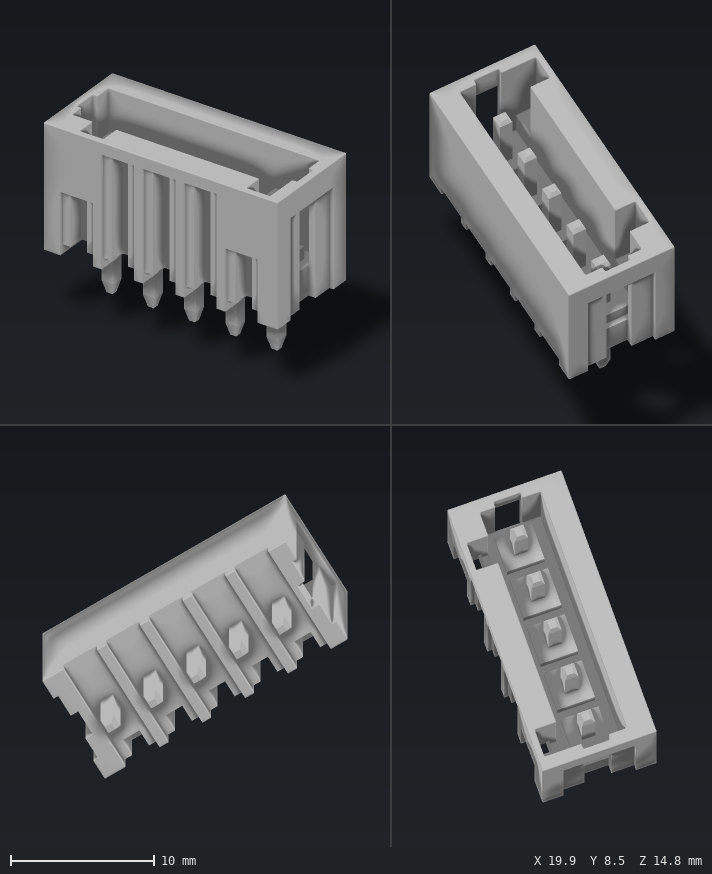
import cadquery as cq


LENGTH = 19.9
WIDTH = 8.5
HEIGHT = 10.3
EDGE_RADIUS = 0.1
FRONT = -WIDTH / 2

PIN_COUNT = 5
PITCH = 3.5
ROW_CENTRE_X = -0.15
PIN_Y = 0.1
PIN_SIZE = 1.0
PIN_TIP_SIZE = 0.5
PIN_BOTTOM = -4.5
LOWER_TAPER = 1.0
PIN_TOP = 8.2
UPPER_TAPER = 0.25
PIN_XS = [ROW_CENTRE_X + (i - (PIN_COUNT - 1) / 2) * PITCH for i in range(PIN_COUNT)]

FLOOR_Z = 2.5
CAVITY_HALF_LENGTH = 8.95
CAVITY_WIDTH = 4.5
CAVITY_FRONT = PIN_Y - CAVITY_WIDTH / 2
CAVITY_BACK = PIN_Y + CAVITY_WIDTH / 2

NOTCH_FLOOR_Z = 4.3
NOTCH_FRONT = -3.75
NOTCH_LENGTH = 2.0
LEFT_NOTCH_START = -7.2
RIGHT_NOTCH_START = CAVITY_HALF_LENGTH - NOTCH_LENGTH

SLOT_WIDTH = 2.0
SLOT_END = 9.35
RECESS_WIDTH = 5.4
RECESS_DEPTH = 0.4
RECESS_TOP = HEIGHT - 2.0

BASE_SIZE = 2.8
BASE_TOP = FLOOR_Z + 1.0
STANDOFF = 0.8
GROOVE_INNER_WIDTH = BASE_SIZE / 2
GROOVE_STEP_DEPTH = 0.3
GROOVE_DEPTH = 1.6
TALL_GROOVE_TOP = HEIGHT - 1.0
SHORT_GROOVE_TOP = 5.15


def block(x0, x1, y0, y1, z0, z1):
    """Box between two opposite corners."""
    return cq.Workplane("XY").box(x1 - x0, y1 - y0, z1 - z0, centered=False).translate((x0, y0, z0))


def cut_cavity(body):
    """Cavity with two keying notches and an open slot at each end, rounded on all its edges."""
    cavity = block(-CAVITY_HALF_LENGTH, CAVITY_HALF_LENGTH, CAVITY_FRONT, CAVITY_BACK, FLOOR_Z, HEIGHT)
    for start in (LEFT_NOTCH_START, RIGHT_NOTCH_START):
        end = start + NOTCH_LENGTH
        cavity = cavity.union(block(start, end, NOTCH_FRONT, CAVITY_FRONT, NOTCH_FLOOR_Z, HEIGHT))
    half_slot = SLOT_WIDTH / 2
    cavity = cavity.union(block(-SLOT_END, SLOT_END, -half_slot, half_slot, FLOOR_Z, HEIGHT))
    cavity = cavity.edges("not >Z").fillet(EDGE_RADIUS)
    body = body.cut(cavity)
    rim = body.faces(">Z").val().innerWires()[0]
    body = body.newObject(rim.Edges()).fillet(EDGE_RADIUS)
    return body


def cut_end_recesses(body):
    """Shallow recess on each end wall, with the latch slot running from it down past the cavity floor."""
    half = LENGTH / 2
    for side in (-1, 1):
        for depth, width in ((RECESS_DEPTH, RECESS_WIDTH), (half - CAVITY_HALF_LENGTH, SLOT_WIDTH)):
            x0, x1 = sorted((side * half, side * (half - depth)))
            body = body.cut(block(x0, x1, -width / 2, width / 2, 0, RECESS_TOP))
    return body


def cut_front_grooves(body):
    """Stepped groove in front of each pin; the outermost two are short."""
    for i, x in enumerate(PIN_XS):
        top = SHORT_GROOVE_TOP if i in (0, PIN_COUNT - 1) else TALL_GROOVE_TOP
        for width, depth in ((BASE_SIZE, GROOVE_STEP_DEPTH), (GROOVE_INNER_WIDTH, GROOVE_DEPTH)):
            body = body.cut(block(x - width / 2, x + width / 2, FRONT, FRONT + depth, 0, top))
    return body


def cut_underside_channels(body):
    """Channels across the underside below each pin, leaving ribs as standoffs."""
    for x in PIN_XS:
        body = body.cut(
            block(x - BASE_SIZE / 2, x + BASE_SIZE / 2, -WIDTH / 2, WIDTH / 2, 0, STANDOFF)
        )
    return body


def pin_tip(x, z, length):
    """Tapered pin end starting at height z; a negative length points down."""
    return (
        cq.Workplane("XY", origin=(x, PIN_Y, z))
        .rect(PIN_SIZE, PIN_SIZE)
        .workplane(offset=length)
        .rect(PIN_TIP_SIZE, PIN_TIP_SIZE)
        .loft()
    )


def pin_with_base(x):
    """Square pin with two tapered ends and the raised base around it on the cavity floor."""
    half_base = BASE_SIZE / 2
    half_pin = PIN_SIZE / 2
    shank_bottom = PIN_BOTTOM + LOWER_TAPER
    shank_top = PIN_TOP - UPPER_TAPER
    base = block(x - half_base, x + half_base, PIN_Y - half_base, PIN_Y + half_base, STANDOFF, BASE_TOP)
    shank = block(x - half_pin, x + half_pin, PIN_Y - half_pin, PIN_Y + half_pin, shank_bottom, shank_top)
    lower_tip = pin_tip(x, shank_bottom, -LOWER_TAPER)
    upper_tip = pin_tip(x, shank_top, UPPER_TAPER)
    return base.union(shank).union(lower_tip).union(upper_tip)


housing = cq.Workplane("XY").box(LENGTH, WIDTH, HEIGHT, centered=(True, True, False))
housing = housing.edges().fillet(EDGE_RADIUS)
housing = cut_cavity(housing)
housing = cut_end_recesses(housing)
housing = cut_front_grooves(housing)
housing = cut_underside_channels(housing)

result = housing
for pin_x in PIN_XS:
    result = result.union(pin_with_base(pin_x))